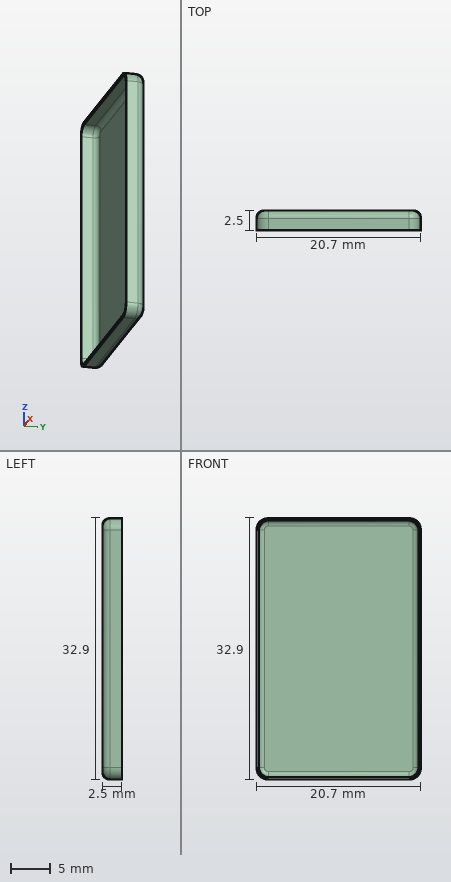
import cadquery as cq

width = 20.7
depth = 2.5
height = 32.9
wall = 0.3
corner_radius = 1.5
edge_radius = 1.0

inner_corner_radius = corner_radius - wall
inner_edge_radius = edge_radius - wall


def rounded_block(x_size, y_size, z_size, corner, back_edge):
    """Block with its open face at -Y, rounded corners and a rounded back edge."""
    block = cq.Workplane("XY").box(x_size, y_size, z_size)
    return block.edges("|Y").fillet(corner).faces(">Y").edges().fillet(back_edge)


outer = rounded_block(width, depth, height, corner_radius, edge_radius)

cavity = rounded_block(
    width - 2 * wall,
    depth - wall,
    height - 2 * wall,
    inner_corner_radius,
    inner_edge_radius,
).translate((0, -wall / 2, 0))

result = outer.cut(cavity)